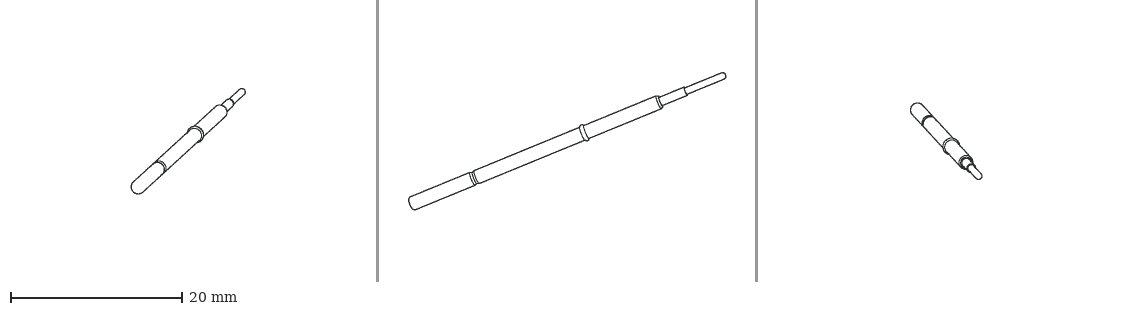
import cadquery as cq

total_length = 40.3

rod_radius = 0.41
tip_round_radius = 0.4
rod_length = 5.1
collar_radius = 0.53
collar_length = 3.2

barrel_radius = 0.825
mouth_chamfer_length = 0.25
mouth_chamfer_depth = 0.15
end_round_radius = 0.4

ring_radius = 1.0
ring_width = 0.55
ring_center_from_tip = 18.05

groove_width = 0.55
groove_depth = 0.13
groove_center_from_tip = 32.1

tip_y = total_length / 2
end_y = -total_length / 2
collar_front_y = tip_y - rod_length
mouth_y = collar_front_y - collar_length
ring_y = tip_y - ring_center_from_tip
groove_y = tip_y - groove_center_from_tip


def revolve_about_y(profile):
    return profile.close().revolve(360, (0, 0), (0, 1))


def make_plunger():
    tip_flat_radius = rod_radius - tip_round_radius
    return revolve_about_y(
        cq.Workplane("XY")
        .moveTo(0, mouth_y)
        .lineTo(collar_radius, mouth_y)
        .lineTo(collar_radius, collar_front_y)
        .lineTo(rod_radius, collar_front_y)
        .lineTo(rod_radius, tip_y - tip_round_radius)
        .radiusArc((tip_flat_radius, tip_y), -tip_round_radius)
        .lineTo(0, tip_y)
    )


def make_barrel():
    end_flat_radius = barrel_radius - end_round_radius
    return revolve_about_y(
        cq.Workplane("XY")
        .moveTo(0, end_y)
        .lineTo(end_flat_radius, end_y)
        .radiusArc((barrel_radius, end_y + end_round_radius), -end_round_radius)
        .lineTo(barrel_radius, groove_y - groove_width / 2)
        .lineTo(barrel_radius - groove_depth, groove_y)
        .lineTo(barrel_radius, groove_y + groove_width / 2)
        .lineTo(barrel_radius, mouth_y - mouth_chamfer_length)
        .lineTo(barrel_radius - mouth_chamfer_depth, mouth_y)
        .lineTo(0, mouth_y)
    )


def make_ring():
    section_radius = ring_width / 2
    section_center = ring_radius - section_radius
    return revolve_about_y(
        cq.Workplane("XY")
        .moveTo(0, ring_y - section_radius)
        .lineTo(section_center, ring_y - section_radius)
        .threePointArc(
            (ring_radius, ring_y),
            (section_center, ring_y + section_radius),
        )
        .lineTo(0, ring_y + section_radius)
    )


result = make_barrel().union(make_ring()).union(make_plunger())